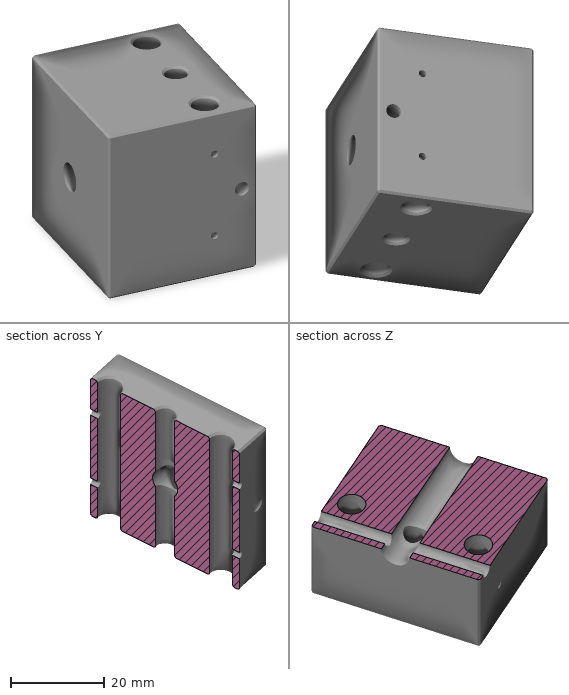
import cadquery as cq

width = 40.0
depth = 35.0
height = 40.0
edge_chamfer = 0.5

row_y = depth / 2 - 10.0
outer_hole_x = 15.0
outer_hole_diameter = 6.0
middle_hole_diameter = 5.0
hole_chamfer = 0.5

front_hole_diameter = 6.6
cross_hole_diameter = 3.3
cross_hole_y = depth / 2 - 3.5
set_screw_diameter = 1.7
set_screw_z = 10.0


def vertical_hole(x, diameter):
    """Through hole along Z, chamfered at both mouths."""
    bore = cq.Workplane("XY").center(x, row_y).circle(diameter / 2).extrude(height / 2, both=True)
    mouth = (
        cq.Workplane("XY", origin=(x, row_y, height / 2))
        .circle(diameter / 2 + hole_chamfer)
        .workplane(offset=-hole_chamfer)
        .circle(diameter / 2)
        .loft()
    )
    return bore.union(mouth).union(mouth.mirror("XY"))


block = cq.Workplane("XY").box(width, depth, height).edges().chamfer(edge_chamfer)

vertical_holes = [
    (-outer_hole_x, outer_hole_diameter),
    (0, middle_hole_diameter),
    (outer_hole_x, outer_hole_diameter),
]
for x, diameter in vertical_holes:
    block = block.cut(vertical_hole(x, diameter))

front_hole = cq.Workplane("XZ").circle(front_hole_diameter / 2).extrude(depth / 2, both=True)
block = block.cut(front_hole)

cross_hole = (
    cq.Workplane("YZ").center(cross_hole_y, 0).circle(cross_hole_diameter / 2).extrude(width / 2, both=True)
)
block = block.cut(cross_hole)

set_screw_length = width / 2 - outer_hole_x
for side in (-1, 1):
    set_screws = (
        cq.Workplane("YZ", origin=(side * width / 2, 0, 0))
        .pushPoints([(row_y, -set_screw_z), (row_y, set_screw_z)])
        .circle(set_screw_diameter / 2)
        .extrude(-side * set_screw_length)
    )
    block = block.cut(set_screws)

result = block